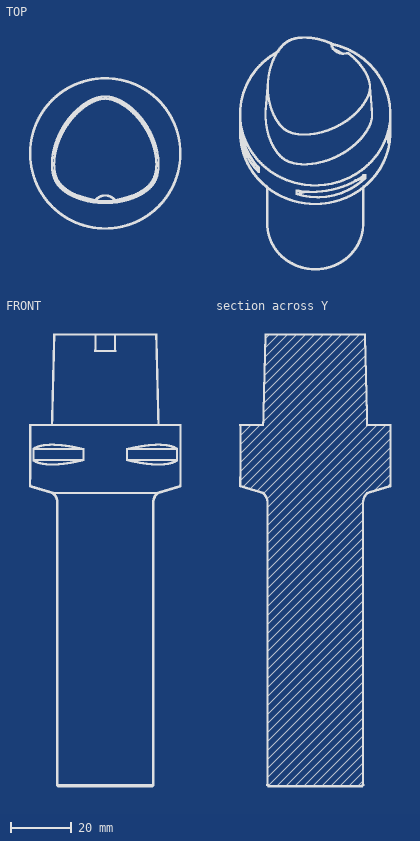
import cadquery as cq
import math

TOTAL_HEIGHT = 150.0
TAPER_HEIGHT = 30.0
FLANGE_RIM_HEIGHT = 20.4
UNDERSIDE_CONE_HEIGHT = 2.2
NECK_HEIGHT = 3.2
FLANGE_TOP_Z = TOTAL_HEIGHT - TAPER_HEIGHT
RIM_BOTTOM_Z = FLANGE_TOP_Z - FLANGE_RIM_HEIGHT
NECK_TOP_Z = RIM_BOTTOM_Z - UNDERSIDE_CONE_HEIGHT
SHANK_TOP_Z = NECK_TOP_Z - NECK_HEIGHT

FLANGE_RADIUS = 50.0 / 2
SHANK_RADIUS = 32.0 / 2
NECK_TOP_RADIUS = SHANK_RADIUS + 1.5
RIM_EDGE_RADIUS = 0.5
SHANK_CHAMFER = 0.5

TAPER_BASE_RADIUS = 17.7
TAPER_TOP_RADIUS = TAPER_BASE_RADIUS - TAPER_HEIGHT / 40
LOBE_HEIGHT = 1.2
LOBE_COUNT = 3
LOBE_PITCH = 360 / LOBE_COUNT
FIRST_LOBE_ANGLE = 90
LOBE_HALF_SPAN = 36
CURVE_STEPS = 8

KEY_RADIUS = 4.0
KEY_INNER_Y = -14.0
KEY_DEPTH = 5.5

GROOVE_COUNT = 4
GROOVE_FIRST_ANGLE = 45
GROOVE_BELOW_FLANGE_TOP = 9.9
GROOVE_FLOOR_DISTANCE = 22.0
GROOVE_FLOOR_WIDTH = 3.6
GROOVE_MOUTH_WIDTH = 6.6


def make_body():
    """Shank, concave neck and flange turned about Z."""
    profile = (
        cq.Workplane("XZ")
        .lineTo(SHANK_RADIUS, 0)
        .lineTo(SHANK_RADIUS, SHANK_TOP_Z)
        .tangentArcPoint((NECK_TOP_RADIUS, NECK_TOP_Z), relative=False)
        .lineTo(FLANGE_RADIUS, RIM_BOTTOM_Z)
        .lineTo(FLANGE_RADIUS, FLANGE_TOP_Z)
        .lineTo(0, FLANGE_TOP_Z)
        .close()
    )
    body = profile.revolve(360, (0, 0), (0, 1))
    body = body.faces("<Z").edges().chamfer(SHANK_CHAMFER)
    rim_edge = cq.selectors.BoxSelector(
        (-FLANGE_RADIUS - 1.5, -FLANGE_RADIUS - 1.5, RIM_BOTTOM_Z - RIM_EDGE_RADIUS),
        (FLANGE_RADIUS + 1.5, FLANGE_RADIUS + 1.5, RIM_BOTTOM_Z + RIM_EDGE_RADIUS),
        boundingbox=True,
    )
    return body.edges(rim_edge).fillet(RIM_EDGE_RADIUS)


def lobed_point(mean_radius, degrees):
    """Point on the lobed outline where the surface faces the given direction."""
    angle = math.radians(degrees)
    lobe_phase = LOBE_COUNT * math.radians(degrees - FIRST_LOBE_ANGLE)
    outward = mean_radius + LOBE_HEIGHT * math.cos(lobe_phase)
    sideways = -LOBE_COUNT * LOBE_HEIGHT * math.sin(lobe_phase)
    return cq.Vector(
        outward * math.cos(angle) - sideways * math.sin(angle),
        outward * math.sin(angle) + sideways * math.cos(angle),
    )


def lobed_curve(mean_radius, z, start, span):
    """Smooth piece of the outline at height z, tangent to its neighbours."""
    lift = cq.Vector(0, 0, z)
    directions = [start + span * i / CURVE_STEPS for i in range(CURVE_STEPS + 1)]
    points = [lobed_point(mean_radius, d) + lift for d in directions]
    tangents = [
        cq.Vector(-math.sin(math.radians(d)), math.cos(math.radians(d)))
        for d in (start, start + span)
    ]
    return cq.Edge.makeSpline(points, tangents=tangents)


def lobed_wire(mean_radius, z):
    """Closed outline made of alternating lobes and flats."""
    lobe_span = 2 * LOBE_HALF_SPAN
    pieces = []
    for i in range(LOBE_COUNT):
        lobe_start = FIRST_LOBE_ANGLE + i * LOBE_PITCH - LOBE_HALF_SPAN
        flat_start = lobe_start + lobe_span
        pieces.append(lobed_curve(mean_radius, z, lobe_start, lobe_span))
        pieces.append(lobed_curve(mean_radius, z, flat_start, LOBE_PITCH - lobe_span))
    return cq.Wire.assembleEdges(pieces)


def make_taper():
    base = lobed_wire(TAPER_BASE_RADIUS, FLANGE_TOP_Z)
    top = lobed_wire(TAPER_TOP_RADIUS, TOTAL_HEIGHT)
    return cq.Workplane(cq.Solid.makeLoft([base, top], True))


def make_key_slot():
    return (
        cq.Workplane("XY", origin=(0, KEY_INNER_Y - KEY_RADIUS, TOTAL_HEIGHT))
        .circle(KEY_RADIUS)
        .extrude(-KEY_DEPTH)
    )


def make_groove(angle):
    """Straight trapezoidal cutter whose sides open out to the mouth at the rim."""
    groove_depth = FLANGE_RADIUS - GROOVE_FLOOR_DISTANCE
    side_slope = (GROOVE_MOUTH_WIDTH - GROOVE_FLOOR_WIDTH) / 2 / groove_depth
    outer_distance = FLANGE_RADIUS + 1.5
    floor_half = GROOVE_FLOOR_WIDTH / 2
    outer_half = floor_half + side_slope * (outer_distance - GROOVE_FLOOR_DISTANCE)
    return (
        cq.Workplane("XZ", origin=(0, 0, FLANGE_TOP_Z - GROOVE_BELOW_FLANGE_TOP))
        .moveTo(GROOVE_FLOOR_DISTANCE, -floor_half)
        .lineTo(outer_distance, -outer_half)
        .lineTo(outer_distance, outer_half)
        .lineTo(GROOVE_FLOOR_DISTANCE, floor_half)
        .close()
        .extrude(FLANGE_RADIUS, both=True)
        .rotate((0, 0, 0), (0, 0, 1), angle)
    )


result = make_body().union(make_taper()).cut(make_key_slot())
for groove_index in range(GROOVE_COUNT):
    groove_angle = GROOVE_FIRST_ANGLE + groove_index * 360 / GROOVE_COUNT
    result = result.cut(make_groove(groove_angle))